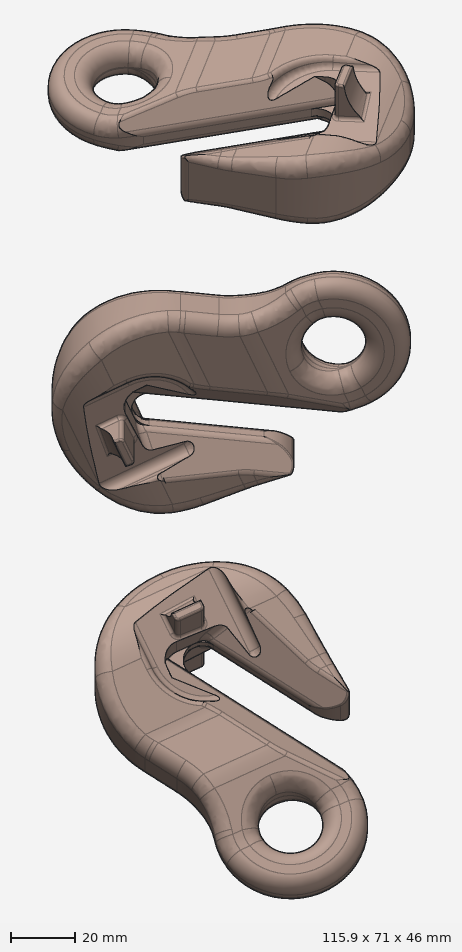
import cadquery as cq
import math


EYE_RADIUS = 24.0
EYE_HOLE_RADIUS = 10.0
EYE_HOLE_ROUND = 5.8

BOW_END_X = 91.88
BOW_UPPER_RADIUS = 36.0
BOW_LOWER_RADIUS = 34.4
NECK_RADIUS = 28.0
OUTER_ROUND = 5.0
TIP_ROUND = 2.0
RIM_TAPER_X = 58.3

SLOT_CENTER_X = 61.5
SLOT_RADIUS = 6.0
SLOT_ANGLE = math.asin((EYE_RADIUS + SLOT_RADIUS) / SLOT_CENTER_X)
SLOT_END_X = SLOT_CENTER_X + SLOT_RADIUS

FILL_LENGTH = 11.0

TIP_X = 30.1
TIP_BOTTOM_Y = -34.98
TIP_RADIUS = 3.3
TIP_START_ANGLE = math.radians(163)
NOSE_START_X = 33.0
NOSE_ROUND = 0.6

EYE_HALF = 6.0
SHANK_HALF = 10.0
SHANK_START_X = 20.9
SHANK_END_X = 41.5
RISE_END_X = 66.0
RISE_ANGLE = math.radians(8)
FALL_ANGLE = math.radians(24)
CROWN_RADIUS = 34.4
PROFILE_BEND_RADIUS = 30.0

FLANK_ANGLE = math.radians(40)
FLANK_START_Z = 2.95
FLANK_REACH = 30.0
FLANK_ROUND = 2.9
RIDGE_ROUND = 2.5
RIDGE_END_X = 65.0
THROAT_TOP_Y = 12.5
THROAT_CORNER_RADIUS = 6.5
THROAT_BLEND = 3.0

POCKET_UPPER_Y = 17.4
POCKET_LOWER_Y = -16.9
POCKET_UPPER_X = 44.6
POCKET_LOWER_X = 51.5
POCKET_UPPER_CORNER = 17.4
POCKET_LOWER_CORNER = 4.0
POCKET_FLOOR_POINT = (78.0, 15.2, 13.08)
POCKET_SPLIT_Y = -8.0
POCKET_BLOCK_HALF_Y = 25.0
POCKET_SLOPE_X = 0.2
POCKET_SLOPE_Y = 0.125
POCKET_UPPER_FLOOR_ROUND = 2.5
POCKET_UPPER_RIM_ROUND = 2.0
POCKET_LOWER_FLOOR_ROUND = 3.0
POCKET_LOWER_RIM_ROUND = 1.5

FIN_FRONT_X = 68.6
FIN_TOP_BACK_X = 71.9
FIN_TOP_Z = 23.0
FIN_FOOT_X = 78.0
FIN_FOOT_Z = 10.5
FIN_BACK_POINT = (73.2, 17.2)
FIN_MIN_Y = -4.5
FIN_MAX_Y = 5.6
FIN_ROUND = 0.7
FIN_SIDE_ROUND = 1.4
FIN_FOOT_ROUND = 1.2
FIN_FOOT_DEPTH = 3.0

FAR = 120.0
EDGE_REACH = 40.0


def polar(center, radius, angle):
    return (center[0] + radius * math.cos(angle), center[1] + radius * math.sin(angle))


def slot_point(along, across):
    """Point at a distance out of the mouth and to the upper side of the slot axis."""
    c, s = math.cos(SLOT_ANGLE), math.sin(SLOT_ANGLE)
    return (SLOT_CENTER_X - along * c - across * s, -along * s + across * c)


def body_outline():
    """Outer outline with the mouth still filled in."""
    upper_center = (BOW_END_X - BOW_UPPER_RADIUS, 0)
    lower_center = (BOW_END_X - BOW_LOWER_RADIUS, 0)
    normal = SLOT_ANGLE + math.pi / 2
    line_offset = upper_center[0] * math.cos(normal) + BOW_UPPER_RADIUS
    neck_distance = EYE_RADIUS + NECK_RADIUS
    neck_angle = normal - math.acos((line_offset + NECK_RADIUS) / neck_distance)
    neck_center = polar((0, 0), neck_distance, neck_angle)
    neck_end = polar(neck_center, NECK_RADIUS, normal - math.pi)
    neck_middle = polar(neck_center, NECK_RADIUS, (neck_angle + normal) / 2 - math.pi)
    eye_start = polar((0, 0), EYE_RADIUS, SLOT_ANGLE - math.pi / 2)
    fill_end = polar((0, 0), EYE_RADIUS + FILL_LENGTH, SLOT_ANGLE - math.pi / 2)
    bow_start = polar(upper_center, BOW_UPPER_RADIUS, normal)
    bow_middle = polar(upper_center, BOW_UPPER_RADIUS, normal / 2)
    dx, dy = TIP_X - lower_center[0], TIP_BOTTOM_Y
    under_angle = math.atan2(dy, dx) + math.acos(BOW_LOWER_RADIUS / math.hypot(dx, dy))
    under_end = polar(lower_center, BOW_LOWER_RADIUS, under_angle)
    under_slope = (TIP_BOTTOM_Y - under_end[1]) / (TIP_X - under_end[0])
    fill_x = fill_end[0]
    fill_corner = (fill_x, TIP_BOTTOM_Y + under_slope * (fill_x - TIP_X))
    return (
        cq.Workplane("XY")
        .moveTo(*eye_start)
        .threePointArc((-EYE_RADIUS, 0), polar((0, 0), EYE_RADIUS, neck_angle))
        .threePointArc(neck_middle, neck_end)
        .lineTo(*bow_start)
        .threePointArc(bow_middle, (BOW_END_X, 0))
        .threePointArc(polar(lower_center, BOW_LOWER_RADIUS, under_angle / 2), under_end)
        .lineTo(*fill_corner)
        .lineTo(*fill_end)
        .close()
    )


def thickness_profile():
    """Upper half of the side profile, drawn in XZ and extruded across Y."""
    rise_end_z = SHANK_HALF + (RISE_END_X - SHANK_END_X) * math.tan(RISE_ANGLE)
    crown_x = RISE_END_X + CROWN_RADIUS * math.sin(RISE_ANGLE)
    crown_center_z = rise_end_z - CROWN_RADIUS * math.cos(RISE_ANGLE)
    crown_top = (crown_x, crown_center_z + CROWN_RADIUS)
    crown_end = polar((crown_x, crown_center_z), CROWN_RADIUS, math.pi / 2 - FALL_ANGLE)
    fall_end = (FAR, crown_end[1] - (FAR - crown_end[0]) * math.tan(FALL_ANGLE))
    profile = (
        cq.Workplane("XZ", origin=(0, FAR / 2, 0))
        .moveTo(-FAR, -FAR)
        .lineTo(-FAR, EYE_HALF)
        .lineTo(0, EYE_HALF)
        .lineTo(SHANK_START_X, SHANK_HALF)
        .lineTo(SHANK_END_X, SHANK_HALF)
        .lineTo(RISE_END_X, rise_end_z)
        .threePointArc(crown_top, crown_end)
        .lineTo(*fall_end)
        .lineTo(FAR, -FAR)
        .close()
        .extrude(FAR)
    )
    bends = cq.selectors.BoxSelector((-1, -FAR, 0), (SHANK_END_X + 1, FAR, FAR))
    return profile.edges("|Y").edges(bends).fillet(PROFILE_BEND_RADIUS)


def round_rim(body):
    """Round the outer rim, tapering the radius along the underside toward the tip."""
    fillet = cq.occ_impl.shapes.BRepFilletAPI_MakeFillet(body.val().wrapped)
    fillet.Add(OUTER_ROUND, body.faces("<X").edges(">Z").val().wrapped)
    taper = (OUTER_ROUND - TIP_ROUND) / (RIM_TAPER_X - TIP_X)
    for index in range(1, fillet.NbEdges(1) + 1):
        edge = cq.Edge(fillet.Edge(1, index))
        underside = edge.Center().y < TIP_BOTTOM_Y + TIP_RADIUS
        ends = sorted((edge.startPoint().x, edge.endPoint().x), reverse=True)
        rounds = [OUTER_ROUND - taper * (RIM_TAPER_X - x) if underside else OUTER_ROUND for x in ends]
        start_round, end_round = [min(max(r, TIP_ROUND), OUTER_ROUND) for r in rounds]
        fillet.SetRadius(start_round, end_round, 1, index)
    return cq.Workplane(cq.Shape.cast(fillet.Shape()))


def make_body():
    body = body_outline().extrude(FAR / 2).intersect(thickness_profile())
    body = round_rim(body)
    hole = cq.Workplane("XY").circle(EYE_HOLE_RADIUS).extrude(FAR)
    body = body.cut(hole)
    reach = EYE_HOLE_RADIUS + 1
    mouth = cq.selectors.BoxSelector((-reach, -reach, EYE_HALF / 2), (reach, reach, FAR))
    return body.edges(mouth).fillet(EYE_HOLE_ROUND)


def make_slot():
    """Mouth opening, also trimming the nose and the rounded tip."""
    tip_center = (TIP_X, TIP_BOTTOM_Y + TIP_RADIUS)
    lower_side = slot_point(0, -SLOT_RADIUS)
    nose_start = slot_point((lower_side[0] - NOSE_START_X) / math.cos(SLOT_ANGLE), -SLOT_RADIUS)
    return (
        cq.Workplane("XY")
        .moveTo(*slot_point(FAR, SLOT_RADIUS))
        .lineTo(*slot_point(0, SLOT_RADIUS))
        .threePointArc(slot_point(-SLOT_RADIUS, 0), lower_side)
        .lineTo(*nose_start)
        .tangentArcPoint(polar(tip_center, TIP_RADIUS, TIP_START_ANGLE), relative=False)
        .tangentArcPoint((TIP_X, TIP_BOTTOM_Y), relative=False)
        .lineTo(TIP_X, -FAR)
        .close()
        .extrude(FAR)
    )


def make_groove():
    """Open V above the slot, blended into the slot walls."""
    section = cq.Plane(
        origin=(*slot_point(FAR, 0), 0),
        xDir=(-math.sin(SLOT_ANGLE), math.cos(SLOT_ANGLE), 0),
        normal=(math.cos(SLOT_ANGLE), math.sin(SLOT_ANGLE), 0),
    )
    tangent = FLANK_ROUND * math.tan((math.pi / 2 - FLANK_ANGLE) / 2)
    blend_low = (SLOT_RADIUS, FLANK_START_Z - tangent)
    blend_middle = polar(
        (SLOT_RADIUS + FLANK_ROUND, blend_low[1]), FLANK_ROUND, math.pi - (math.pi / 2 - FLANK_ANGLE) / 2
    )
    blend_high = polar((SLOT_RADIUS, FLANK_START_Z), tangent, FLANK_ANGLE)
    edge_high = polar((SLOT_RADIUS, FLANK_START_Z), FLANK_REACH, FLANK_ANGLE)
    return (
        cq.Workplane(section)
        .moveTo(0, blend_low[1])
        .lineTo(*blend_low)
        .threePointArc(blend_middle, blend_high)
        .lineTo(*edge_high)
        .lineTo(0, edge_high[1])
        .mirrorY()
        .extrude(2 * FAR)
    )


def make_throat():
    """Upright room that limits the V: its end wall stands over the end of the slot."""
    return (
        cq.Workplane("XY")
        .moveTo(-FAR, -FAR)
        .lineTo(SLOT_END_X, -FAR)
        .lineTo(SLOT_END_X, THROAT_TOP_Y)
        .lineTo(-FAR, THROAT_TOP_Y)
        .close()
        .extrude(FAR)
        .edges("|Z and >X and >Y")
        .fillet(THROAT_CORNER_RADIUS)
    )


def make_flanks():
    """Material removed above the slot, with rounded ridges where the V meets the top."""
    blank = thickness_profile()
    groove = make_groove()
    open_end = cq.Workplane("XY").box(FAR, 2 * FAR, 2 * FAR).translate((RIDGE_END_X - FAR / 2, 0, 0))
    carved = blank.cut(groove.intersect(open_end))
    on_shank = cq.selectors.BoxSelector(
        (SHANK_START_X, -EDGE_REACH, SHANK_HALF - 0.1), (SHANK_END_X, EDGE_REACH, FAR)
    )
    ridges = carved.edges("not |Y").edges(on_shank)
    carved = ridges.fillet(RIDGE_ROUND)
    flanks = blank.cut(carved).union(groove).intersect(make_throat())
    wall_edge = cq.selectors.NearestToPointSelector((SLOT_END_X, -2 * SLOT_RADIUS, SHANK_HALF))
    return flanks.edges(wall_edge).fillet(THROAT_BLEND)


def pocket_room(end_x, wall_y, corner_radius, floor_round, rim_round):
    """Room on the inner side of one pocket wall, which turns through a corner into an end wall.

    It is carved from a block whose top is the rising face continued past the crown.
    """
    block_end = POCKET_FLOOR_POINT[0] + POCKET_UPPER_Y
    block_end_z = SHANK_HALF + (block_end - SHANK_END_X) * math.tan(RISE_ANGLE)
    block = (
        cq.Workplane("XZ", origin=(0, POCKET_BLOCK_HALF_Y, 0))
        .moveTo(SHANK_END_X, -FAR)
        .lineTo(SHANK_END_X, SHANK_HALF)
        .lineTo(block_end, block_end_z)
        .lineTo(block_end, -FAR)
        .close()
        .extrude(2 * POCKET_BLOCK_HALF_Y)
    )
    floor = cq.Plane(
        origin=POCKET_FLOOR_POINT,
        xDir=(1, 0, POCKET_SLOPE_X),
        normal=(-POCKET_SLOPE_X, -POCKET_SLOPE_Y, 1),
    )
    above_floor = cq.Workplane(floor).rect(2 * FAR, 2 * FAR).extrude(FAR)
    far_y = -math.copysign(FAR, wall_y)
    corner = cq.selectors.NearestToPointSelector((end_x, wall_y, 0))
    plan = (
        cq.Workplane("XY", origin=(0, 0, -FAR))
        .polyline([(end_x, wall_y), (FAR, wall_y), (FAR, far_y), (end_x, far_y)])
        .close()
        .extrude(2 * FAR)
        .edges(corner)
        .fillet(corner_radius)
    )
    carved = block.cut(plan.intersect(above_floor))
    wall_start = end_x + corner_radius
    wall = cq.selectors.BoxSelector((wall_start + 1, wall_y - 1, 0), (block_end - 1, wall_y + 1, FAR))
    carved = carved.edges(wall).edges("<Z").fillet(floor_round)
    carved = carved.edges(wall).edges(">Z").fillet(rim_round)
    return block.cut(carved)


def make_pocket():
    """Chain pocket; its floor climbs toward +X and +Y until it leaves the surface."""
    upper = pocket_room(
        POCKET_UPPER_X, POCKET_UPPER_Y, POCKET_UPPER_CORNER, POCKET_UPPER_FLOOR_ROUND, POCKET_UPPER_RIM_ROUND
    )
    lower = pocket_room(
        POCKET_LOWER_X, POCKET_LOWER_Y, POCKET_LOWER_CORNER, POCKET_LOWER_FLOOR_ROUND, POCKET_LOWER_RIM_ROUND
    )
    beyond_split = cq.Workplane("XY").box(2 * FAR, FAR, 2 * FAR).translate((0, POCKET_SPLIT_Y + FAR / 2, 0))
    return upper.intersect(beyond_split).union(lower.cut(beyond_split))


def make_fin():
    fin = (
        cq.Workplane("XZ", origin=(0, FIN_MAX_Y, 0))
        .moveTo(FIN_FRONT_X, 0)
        .lineTo(FIN_FRONT_X, FIN_TOP_Z)
        .lineTo(FIN_TOP_BACK_X, FIN_TOP_Z)
        .threePointArc(FIN_BACK_POINT, (FIN_FOOT_X, FIN_FOOT_Z))
        .lineTo(FIN_FOOT_X, 0)
        .close()
        .extrude(FIN_MAX_Y - FIN_MIN_Y)
    )
    return fin.edges("|Z and <X").fillet(FIN_SIDE_ROUND).faces(">Z").edges().fillet(FIN_ROUND)


def add_fin(half):
    """Join the fin to the pocket floor with a small fillet around its foot."""
    foot = cq.selectors.BoxSelector(
        (FIN_FRONT_X - 0.1, FIN_MIN_Y - 0.1, SHANK_HALF - FIN_FOOT_DEPTH),
        (FIN_FOOT_X, FIN_MAX_Y + 0.1, SHANK_HALF + FIN_FOOT_DEPTH),
    )
    return half.union(make_fin()).edges(foot).fillet(FIN_FOOT_ROUND)


def round_nose(half):
    """Break the edge between the nose and the sloping flank."""
    nose_point = (TIP_X - TIP_RADIUS, TIP_BOTTOM_Y + 2 * TIP_RADIUS, EYE_HALF)
    nose_edge = cq.selectors.NearestToPointSelector(nose_point)
    return half.edges(nose_edge).fillet(NOSE_ROUND)


carved = make_body().cut(make_slot()).cut(make_flanks()).cut(make_pocket())
half = add_fin(round_nose(carved))
result = half.union(half.mirror("XY")).clean()